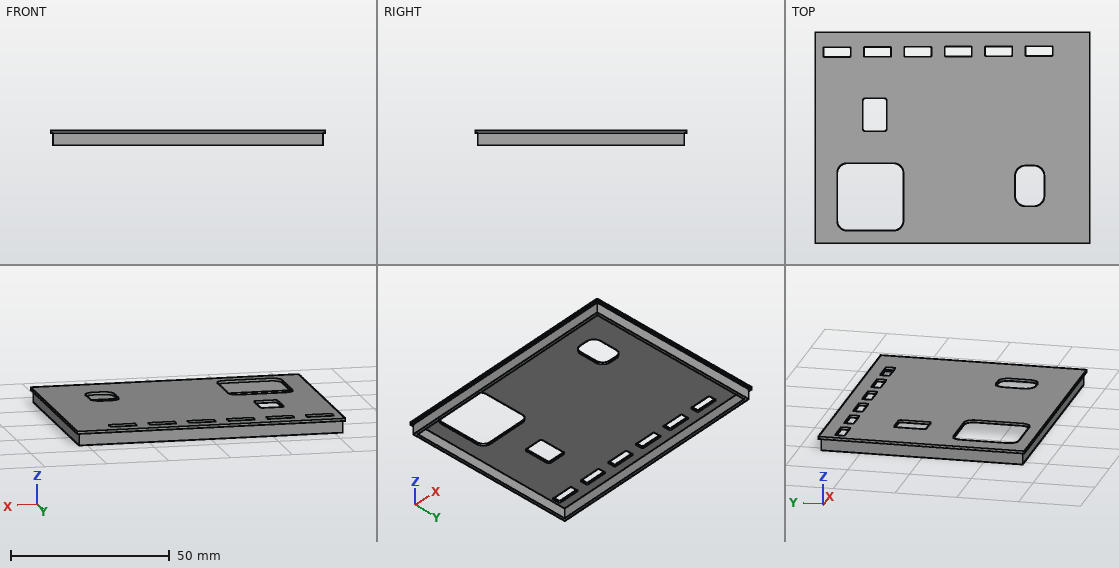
import cadquery as cq

plate_length = 86.6
plate_width = 66.6
plate_thickness = 0.9
total_height = 4.8

frame_setback = 0.7
frame_wall = 1.0
frame_height = total_height - plate_thickness
frame_length = plate_length - 2 * frame_setback
frame_width = plate_width - 2 * frame_setback

slot_count = 6
slot_length = 8.5
slot_width = 3.0
slot_corner_radius = 0.3
slot_pitch = 12.7
first_slot_x = -36.4
first_slot_y = 27.0
slot_rise = 0.06

small_window = (-24.5, 7.3, 7.5, 10.4, 0.8)
large_window = (-25.9, -18.6, 20.8, 21.1, 3.0)
right_window = (24.3, -15.15, 9.2, 12.7, 3.2)


def cut_slots(plate):
    """Cut the row of slots through the plate."""
    centres = [
        (first_slot_x + i * slot_pitch, first_slot_y + i * slot_rise)
        for i in range(slot_count)
    ]
    slots = (
        cq.Workplane("XY")
        .workplane(offset=frame_height)
        .pushPoints(centres)
        .rect(slot_length, slot_width)
        .extrude(plate_thickness)
        .edges("|Z")
        .fillet(slot_corner_radius)
    )
    return plate.cut(slots)


def cut_window(plate, window):
    """Cut one window with rounded corners through the plate."""
    x, y, length, width, radius = window
    opening = (
        cq.Workplane("XY")
        .workplane(offset=frame_height)
        .center(x, y)
        .rect(length, width)
        .extrude(plate_thickness)
        .edges("|Z")
        .fillet(radius)
    )
    return plate.cut(opening)


def make_plate():
    """Flat cover plate with its slots and windows."""
    plate = (
        cq.Workplane("XY")
        .workplane(offset=frame_height)
        .rect(plate_length, plate_width)
        .extrude(plate_thickness)
    )
    plate = cut_slots(plate)
    for window in (small_window, large_window, right_window):
        plate = cut_window(plate, window)
    return plate


def make_frame():
    """Open rectangular frame that carries the plate."""
    return (
        cq.Workplane("XY")
        .rect(frame_length, frame_width)
        .rect(frame_length - 2 * frame_wall, frame_width - 2 * frame_wall)
        .extrude(frame_height)
    )


cover_plate = make_plate()
frame = make_frame()

result = cq.Compound.makeCompound([cover_plate.val(), frame.val()])